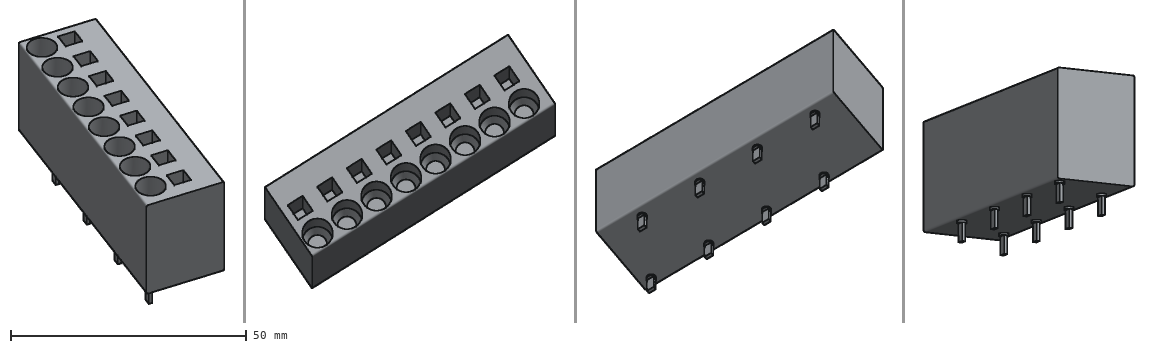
import cadquery as cq

housing_length = 61.8
housing_width = 18.5
total_height = 28.75
pin_drop = 4.6
housing_height = total_height - pin_drop
edge_radius = 0.5

pole_count = 8
pole_row_length = 52.5
pole_pitch = pole_row_length / (pole_count - 1)
first_pole_x = (pole_pitch - housing_length) / 2
front_y = -housing_width / 2
rear_y = housing_width / 2

wire_hole_diameter = 6.5
funnel_end_diameter = 4.0
wire_bore_depth = 6.2
funnel_depth = 2.0
wire_hole_y = front_y + 3.7

pocket_length = 3.8
pocket_width = 3.95
pocket_depth = 9.3
pocket_y = front_y + 10.4

collar_diameter = 2.1
collar_height = 0.5
leg_width = 1.7
leg_thickness = 0.8
pin_shift_x = 2.8
rear_row_y = rear_y - 2.6
front_row_y = front_y + 1.9


def pole_x(pole):
    """X position of the wire hole of one pole."""
    return first_pole_x + pole * pole_pitch


def make_block():
    """Plain housing block with its long edges rounded."""
    return (
        cq.Workplane("XY")
        .box(housing_length, housing_width, housing_height, centered=(True, True, False))
        .edges("|X")
        .fillet(edge_radius)
    )


def make_wire_hole(x):
    """Cutter for one wire entry: a cylinder above a narrowing cone."""
    bore_bottom = housing_height - wire_bore_depth
    bore = (
        cq.Workplane("XY", origin=(x, wire_hole_y, bore_bottom))
        .circle(wire_hole_diameter / 2)
        .extrude(wire_bore_depth)
    )
    funnel = (
        cq.Workplane("XY", origin=(x, wire_hole_y, bore_bottom - funnel_depth))
        .circle(funnel_end_diameter / 2)
        .workplane(offset=funnel_depth)
        .circle(wire_hole_diameter / 2)
        .loft()
    )
    return bore.union(funnel)


def make_pocket(x):
    """Cutter for one rectangular pocket."""
    return (
        cq.Workplane("XY", origin=(x, pocket_y, housing_height - pocket_depth))
        .rect(pocket_length, pocket_width)
        .extrude(pocket_depth)
    )


def make_housing():
    """Block with a wire hole and a pocket at every pole."""
    body = make_block()
    for pole in range(pole_count):
        x = pole_x(pole)
        body = body.cut(make_wire_hole(x)).cut(make_pocket(x))
    return body


def make_pin(x, y):
    """One pin: a collar against the housing underside and a leg below it."""
    collar = cq.Workplane("XY", origin=(x, y, 0)).circle(collar_diameter / 2).extrude(-collar_height)
    leg = cq.Workplane("XY", origin=(x, y, 0)).rect(leg_width, leg_thickness).extrude(-pin_drop)
    return collar.union(leg)


housing = make_housing()

pins = []
for pole in range(pole_count):
    row_y = rear_row_y if pole % 2 == 0 else front_row_y
    pins.append(make_pin(pole_x(pole) + pin_shift_x, row_y).val())

result = cq.Compound.makeCompound([housing.val(), *pins])